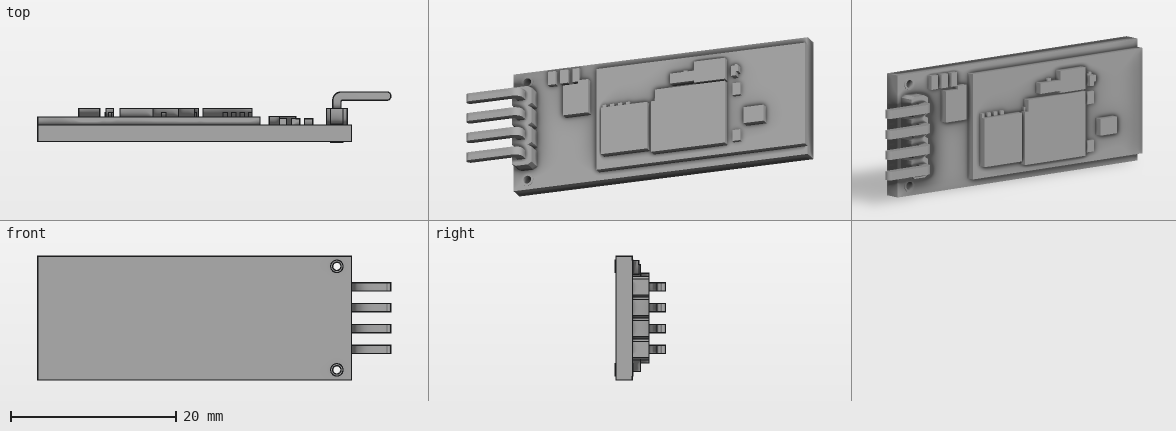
import cadquery as cq

total_length = 42.75
total_depth = 6.1

board_length = 38.0
board_thickness = 2.0
board_height = 15.0
panel_length = 26.95
panel_thickness = 1.0
panel_margin = 1.03

hole_diameter = 1.0
plating_diameter = 1.5
plating_lip = 0.1
hole_edge_distance = 1.25
pin_row_inset = 1.8

pin_count = 4
pin_pitch = 2.52
pin_size = 1.03
pin_top = total_depth - plating_lip
pin_bend_radius = 1.05
pin_inner_radius = 0.13
pin_end_radius = 0.45
header_width = 2.55
header_height = 2.0
header_chamfer_x = 0.5
header_chamfer_z = 0.3

chip_height = 1.03
lead_height = 0.5
passive_height = 0.75
passive_length = 1.7
passive_edge_gap = 0.5
passive_top_z = board_height - passive_edge_gap
lead_width = 0.5
lead_pitch = 1.03
lead_length = 0.5
lead_count = 4
first_lead_x = 22.45
short_lead = 0.35
stub_lead = 0.15
side_lead = 0.25
small_chip_top = 11.8
transistor_top = 11.8
main_chip_end = 19.0
side_chip_top = 8.55
driver_end = 25.95
driver_top = 8.55

pin_row_x = board_length - pin_row_inset
panel_face = board_thickness + panel_thickness
middle_z = board_height / 2


def block(x_range, z_range, base_y, height):
    """Box standing on the plane Y = base_y, given by its X and Z limits."""
    x_start, x_end = x_range
    z_start, z_end = z_range
    size = (x_end - x_start, height, z_end - z_start)
    return cq.Workplane("XY").box(*size, centered=False).translate((x_start, base_y, z_start))


def cylinder(diameter, z, start_y, end_y):
    """Cylinder along Y on the line of the pin row."""
    plane = cq.Workplane("XZ", origin=(pin_row_x, start_y, z))
    return plane.circle(diameter / 2).extrude(start_y - end_y)


def header_segment(z):
    """Plastic body around one pin: a square block with its four upright edges cut off."""
    end_x = header_width / 2
    end_z = pin_pitch / 2
    flat_x = end_x - header_chamfer_x
    flat_z = end_z - header_chamfer_z
    corners = [
        (flat_x, end_z), (end_x, flat_z), (end_x, -flat_z), (flat_x, -end_z),
        (-flat_x, -end_z), (-end_x, -flat_z), (-end_x, flat_z), (-flat_x, end_z),
    ]
    plane = cq.Workplane("XZ", origin=(pin_row_x, board_thickness, z))
    return plane.polyline(corners).close().extrude(-header_height)


def bent_pin(z):
    """Square pin that leaves the header along Y, bends and runs along +X to a rounded tip."""
    near_x = pin_row_x - pin_size / 2
    far_x = pin_row_x + pin_size / 2
    profile = (
        cq.Workplane("XY", origin=(0, 0, z - pin_size / 2))
        .moveTo(near_x, board_thickness)
        .lineTo(near_x, pin_top)
        .lineTo(total_length, pin_top)
        .lineTo(total_length, pin_top - pin_size)
        .lineTo(far_x, pin_top - pin_size)
        .lineTo(far_x, board_thickness)
        .close()
        .extrude(pin_size)
    )
    outer_bend = cq.selectors.NearestToPointSelector((near_x, pin_top, z))
    inner_bend = cq.selectors.NearestToPointSelector((far_x, pin_top - pin_size, z))
    profile = profile.edges("|Z").edges(outer_bend).fillet(pin_bend_radius)
    profile = profile.edges("|Z").edges(inner_bend).fillet(pin_inner_radius)
    return profile.faces(">X").edges("|Z").fillet(pin_end_radius)


result = block((0, board_length), (0, board_height), 0, board_thickness)
result = result.union(
    block((0, panel_length), (panel_margin, board_height - panel_margin), board_thickness, panel_thickness)
)

for index in range(pin_count):
    pin_z = middle_z + (index - (pin_count - 1) / 2) * pin_pitch
    result = result.union(header_segment(pin_z)).union(bent_pin(pin_z))

panel_chips = [
    ((4.95, 7.52), (4.25, 6.3)),
    ((8.25, 9.2), (11.05, small_chip_top)),
    ((8.55, 9.2), (10.5, 11.05)),
    ((9.95, 13.95), (10.25, 12.95)),
    ((13.95, 17.05), (10.5, transistor_top)),
    ((9.95, main_chip_end), (2.05, 10.0)),
    ((main_chip_end, 19.5), (2.05, side_chip_top)),
    ((20.0, driver_end), (2.55, driver_top)),
]
for x_range, z_range in panel_chips:
    result = result.union(block(x_range, z_range, panel_face, chip_height))

panel_leads = [
    ((8.55, 8.95), (small_chip_top, small_chip_top + short_lead)),
    ((8.95, 9.2), (small_chip_top, small_chip_top + stub_lead)),
    ((8.15, 9.2), (8.2, 9.75)),
    ((8.15, 9.2), (2.3, 3.7)),
    ((15.0, 15.5), (transistor_top, transistor_top + short_lead)),
    ((main_chip_end, main_chip_end + side_lead), (side_chip_top, side_chip_top + lead_length)),
]
for index in range(lead_count):
    lead_x = first_lead_x + index * lead_pitch
    lead_end = min(lead_x + lead_width, driver_end)
    panel_leads.append(((lead_x, lead_end), (driver_top, driver_top + lead_length)))
for x_range, z_range in panel_leads:
    result = result.union(block(x_range, z_range, panel_face, lead_height))

board_chip = [
    ((28.0, 29.3), (8.55, 12.82)),
    ((29.3, 31.25), (8.55, 12.4)),
]
for x_range, z_range in board_chip:
    result = result.union(block(x_range, z_range, board_thickness, chip_height))

passive_columns = [(29.3, 30.15), (30.7, 31.7), (32.28, 33.3)]
passive_z = (passive_top_z - passive_length, passive_top_z)
for x_range in passive_columns:
    result = result.union(block(x_range, passive_z, board_thickness, passive_height))

for hole_z in (hole_edge_distance, board_height - hole_edge_distance):
    result = result.union(cylinder(plating_diameter, hole_z, -plating_lip, board_thickness + plating_lip))
    result = result.cut(cylinder(hole_diameter, hole_z, -plating_lip, board_thickness + plating_lip))